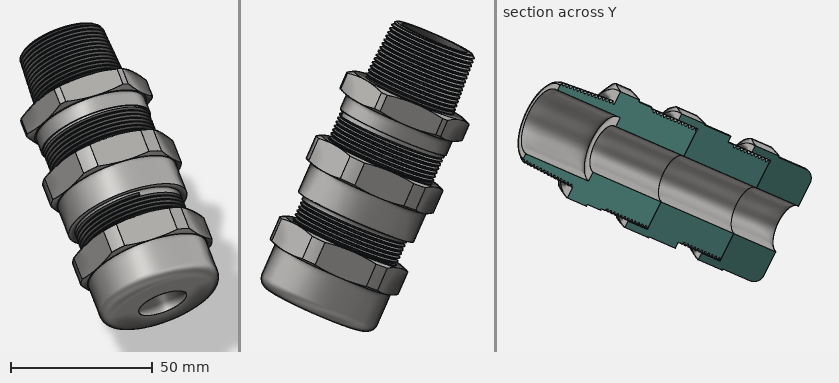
import cadquery as cq
import math

TILT_BELOW_X = 28.27
ROTATION_ABOUT_Y = 90 + TILT_BELOW_X

ENTRY_BORE_DIA = 25.0
ENTRY_BORE_DEPTH = 26.8
CABLE_BORE_DIA = 17.95

PITCH = 1.5
THREAD_DEPTH = 0.92
GROOVE_HALF_ANGLE = 30.0
ROOT_FLAT = 0.2
CREST_OVERCUT = 0.3

CYLINDRICAL_HELIX = 360

START_AT_BACK = 90
START_AT_TOP = 180

TAPER_ANGLE = 3.45
TAPER_START_RADIUS = 15.65
LEAD_CHAMFER_LENGTH = 1.0
LEAD_FACE_RADIUS = 14.6
TAPER_GROOVE_START = -1.75

PARALLEL_THREAD_DIA = 39.8
ENTRY_GROOVE_START = 37.275
MIDDLE_GROOVE_START = 70.45

ENTRY_HEX_START = 22.3
ENTRY_HEX_END = 30.6
COLLAR_DIA = 40.8
COLLAR_END = 36.3
ENTRY_END = 56.0

MIDDLE_HEX_START = 47.6
MIDDLE_HEX_END = 57.8
MIDDLE_SLEEVE_END = 69.0
MIDDLE_END = 87.0

CAP_HEX_START = 78.9
CAP_HEX_END = 89.2
CAP_END = 104.85
CAP_FILLET = 4.0

SLEEVE_DIA = 44.4

ENTRY_HEX_FLATS = 42.0
ENTRY_HEX_CORNER_DIA = 47.2
ENTRY_HEX_ANGLE = 36.3
NUT_HEX_FLATS = 45.0
MIDDLE_HEX_CORNER_DIA = 48.9
MIDDLE_HEX_ANGLE = 34.2
CAP_HEX_CORNER_DIA = 49.16
CAP_HEX_ANGLE = 37.05
HEX_CHAMFER_ANGLE = 22.0


def cylinder(diameter, start, end):
    return cq.Workplane("XY").workplane(offset=start).circle(diameter / 2).extrude(end - start)


def hexagon(flats, corner_dia, corner_angle, start, end):
    """Hexagonal prism with its corners turned to corner_dia and both ends chamfered."""
    prism = (
        cq.Workplane("XY")
        .workplane(offset=start)
        .polygon(6, flats / math.cos(math.radians(30)))
        .extrude(end - start)
        .rotate((0, 0, 0), (0, 0, 1), corner_angle)
    )
    corner_radius = corner_dia / 2
    face_radius = flats / 2
    chamfer = (corner_radius - face_radius) * math.tan(math.radians(HEX_CHAMFER_ANGLE))
    turned_blank = (
        cq.Workplane("XZ")
        .moveTo(0, start)
        .lineTo(face_radius, start)
        .lineTo(corner_radius, start + chamfer)
        .lineTo(corner_radius, end - chamfer)
        .lineTo(face_radius, end)
        .lineTo(0, end)
        .close()
        .revolve(360, (0, 0, 0), (0, 1, 0))
    )
    return prism.intersect(turned_blank)


def thread_groove(crest_radius, start, end, taper_angle):
    """Right-hand helical groove bounded by ruled flanks; crest_radius is the crest at the start."""
    root_radius = crest_radius - THREAD_DEPTH
    top_radius = crest_radius + CREST_OVERCUT
    root_half = ROOT_FLAT / 2
    top_half = root_half + (top_radius - root_radius) * math.tan(math.radians(GROOVE_HALF_ANGLE))
    section = [
        (root_radius, -root_half),
        (top_radius, -top_half),
        (top_radius, top_half),
        (root_radius, root_half),
    ]
    edges = []
    for radius, offset in section:
        helix = cq.Wire.makeHelix(PITCH, end - start, radius, angle=taper_angle)
        edges.append(helix.translate(cq.Vector(0, 0, start + offset)).Edges()[0])
    next_edges = edges[1:] + edges[:1]
    faces = [cq.Face.makeRuledSurface(edge, next_edge) for edge, next_edge in zip(edges, next_edges)]
    for corners in ([edge.startPoint() for edge in edges], [edge.endPoint() for edge in edges]):
        faces.append(cq.Face.makeFromWires(cq.Wire.makePolygon(corners, close=True)))
    return cq.Solid.makeSolid(cq.Shell.makeShell(faces))


def threaded(blank, groove, start_angle):
    """Cut a groove into a turned blank, then turn the blank to bring the thread start to start_angle."""
    return blank.cut(cq.Workplane(groove)).rotate((0, 0, 0), (0, 0, 1), start_angle)


def taper_radius(station):
    return TAPER_START_RADIUS + station * math.tan(math.radians(TAPER_ANGLE))


def parallel_spigot(start, groove_start, end, start_angle):
    blank = cylinder(PARALLEL_THREAD_DIA, start, end)
    groove = thread_groove(PARALLEL_THREAD_DIA / 2, groove_start, end + PITCH, CYLINDRICAL_HELIX)
    return threaded(blank, groove, start_angle)


def make_entry_body():
    tapered_spigot = (
        cq.Workplane("XZ")
        .lineTo(LEAD_FACE_RADIUS, 0)
        .lineTo(taper_radius(LEAD_CHAMFER_LENGTH), LEAD_CHAMFER_LENGTH)
        .lineTo(taper_radius(ENTRY_HEX_START), ENTRY_HEX_START)
        .lineTo(0, ENTRY_HEX_START)
        .close()
        .revolve(360, (0, 0, 0), (0, 1, 0))
    )
    taper_groove = thread_groove(
        taper_radius(TAPER_GROOVE_START),
        TAPER_GROOVE_START,
        ENTRY_HEX_START + PITCH,
        TAPER_ANGLE,
    )
    tapered_thread = threaded(tapered_spigot, taper_groove, START_AT_TOP)
    parallel_thread = parallel_spigot(COLLAR_END, ENTRY_GROOVE_START, ENTRY_END, START_AT_BACK)
    return (
        hexagon(ENTRY_HEX_FLATS, ENTRY_HEX_CORNER_DIA, ENTRY_HEX_ANGLE, ENTRY_HEX_START, ENTRY_HEX_END)
        .union(tapered_thread)
        .union(cylinder(COLLAR_DIA, ENTRY_HEX_END, COLLAR_END))
        .union(parallel_thread)
        .cut(cylinder(ENTRY_BORE_DIA, 0, ENTRY_BORE_DEPTH))
        .cut(cylinder(CABLE_BORE_DIA, 0, ENTRY_END))
    )


def make_middle_body():
    parallel_thread = parallel_spigot(MIDDLE_SLEEVE_END, MIDDLE_GROOVE_START, MIDDLE_END, START_AT_TOP)
    return (
        hexagon(NUT_HEX_FLATS, MIDDLE_HEX_CORNER_DIA, MIDDLE_HEX_ANGLE, MIDDLE_HEX_START, MIDDLE_HEX_END)
        .union(cylinder(SLEEVE_DIA, MIDDLE_HEX_END, MIDDLE_SLEEVE_END))
        .union(parallel_thread)
        .cut(cylinder(PARALLEL_THREAD_DIA, MIDDLE_HEX_START, ENTRY_END))
        .cut(cylinder(CABLE_BORE_DIA, MIDDLE_HEX_START, MIDDLE_END))
    )


def make_cap():
    dome = cylinder(SLEEVE_DIA, CAP_HEX_END, CAP_END).faces(">Z").edges().fillet(CAP_FILLET)
    return (
        hexagon(NUT_HEX_FLATS, CAP_HEX_CORNER_DIA, CAP_HEX_ANGLE, CAP_HEX_START, CAP_HEX_END)
        .union(dome)
        .cut(cylinder(PARALLEL_THREAD_DIA, CAP_HEX_START, MIDDLE_END))
        .cut(cylinder(CABLE_BORE_DIA, CAP_HEX_START, CAP_END))
    )


def placed(body):
    return body.rotate((0, 0, 0), (0, 1, 0), ROTATION_ABOUT_Y).solids().val()


entry_body = placed(make_entry_body())
middle_body = placed(make_middle_body())
cap = placed(make_cap())

result = cq.Compound.makeCompound([entry_body, middle_body, cap])